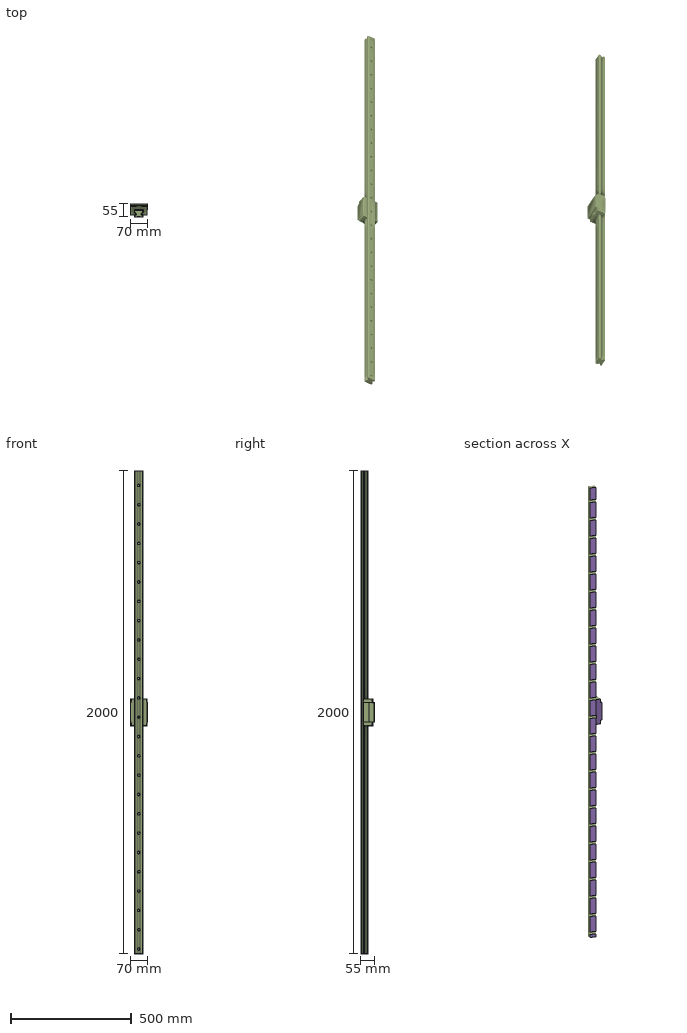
import cadquery as cq
import math


rail_length = 2000.0
rail_width = 34.0
rail_height = 29.0
neck_width = 22.0
base_side_top = 7.5
neck_bottom = 10.5
head_side_bottom = 19.5
rail_base_chamfer = 1.0
rail_top_chamfer = 2.0
rail_half = rail_width / 2
neck_half = neck_width / 2
neck_top = head_side_bottom - (rail_half - neck_half)

groove_floor_width = 6.7
groove_mouth_width = 13.0
groove_depth = 0.5

hole_diameter = 9.0
hole_pitch = 80.0
first_hole_from_end = 20.0
hole_count = math.floor((rail_length - first_hole_from_end) / hole_pitch) + 1

block_width = 70.0
block_top = 55.0
block_bottom = 7.5
body_length = 80.0
upper_side_height = 23.6
side_step = 0.5
block_bottom_chamfer = 3.0
running_clearance = 0.5
cap_setback = 0.5
lower_half = block_width / 2 - side_step
cap_half = lower_half - cap_setback

carriage_length = 112.4
end_plate_thickness = 10.0
spacer_top = 47.0
shoulder_top = 44.5
ridge_top = 48.0
ridge_top_width = 11.0
ridge_foot_width = 25.0
spacer_length = carriage_length - 2 * end_plate_thickness


def mirrored_prism(right_side, length):
    """Prism along Z, centred on Z = 0, from the right half of a symmetric XY outline."""
    left_side = [(-x, y) for x, y in reversed(right_side)]
    return cq.Workplane("XY").polyline(right_side + left_side).close().extrude(length / 2, both=True)


def rail_blank():
    return mirrored_prism(
        [
            (rail_half - rail_base_chamfer, 0),
            (rail_half, rail_base_chamfer),
            (rail_half, base_side_top),
            (neck_half, neck_bottom),
            (neck_half, neck_top),
            (rail_half, head_side_bottom),
            (rail_half, rail_height - rail_top_chamfer),
            (rail_half - rail_top_chamfer, rail_height),
        ],
        rail_length,
    )


def relief_groove():
    return mirrored_prism(
        [(groove_mouth_width / 2, 0), (groove_floor_width / 2, groove_depth)],
        rail_length,
    )


def mounting_holes():
    first_z = first_hole_from_end - rail_length / 2
    centres = [(0, first_z + i * hole_pitch) for i in range(hole_count)]
    return cq.Workplane("XZ").pushPoints(centres).circle(hole_diameter / 2).extrude(-rail_height)


def make_rail():
    return rail_blank().cut(relief_groove()).cut(mounting_holes())


def chamfered_bottom(half_width):
    """Outline points of the chamfer between the carriage's underside and its flank."""
    return [
        (half_width - block_bottom_chamfer, block_bottom),
        (half_width, block_bottom + block_bottom_chamfer),
    ]


def carriage_body():
    step_y = block_top - upper_side_height
    upper_sides = [
        (lower_half, step_y),
        (block_width / 2, step_y),
        (block_width / 2, block_top),
    ]
    return mirrored_prism(chamfered_bottom(lower_half) + upper_sides, body_length)


def end_spacers():
    return mirrored_prism([(cap_half, block_bottom), (cap_half, spacer_top)], spacer_length)


def end_plates():
    shoulder_and_ridge = [
        (cap_half, shoulder_top),
        (ridge_foot_width / 2, shoulder_top),
        (ridge_top_width / 2, ridge_top),
    ]
    return mirrored_prism(chamfered_bottom(cap_half) + shoulder_and_ridge, carriage_length)


def rail_channel():
    """Clearance channel that follows the rail's head, neck and base."""
    side = rail_half + running_clearance
    neck = neck_half + running_clearance
    return mirrored_prism(
        [
            (side, 0),
            (side, base_side_top + running_clearance),
            (neck, neck_bottom + running_clearance),
            (neck, neck_top - running_clearance),
            (side, head_side_bottom - running_clearance),
            (side, rail_height + running_clearance),
        ],
        carriage_length,
    )


def make_carriage():
    outside = carriage_body().union(end_spacers()).union(end_plates())
    return outside.cut(rail_channel()).clean()


rail = make_rail()
carriage = make_carriage()
result = cq.Compound.makeCompound([rail.val(), carriage.val()])